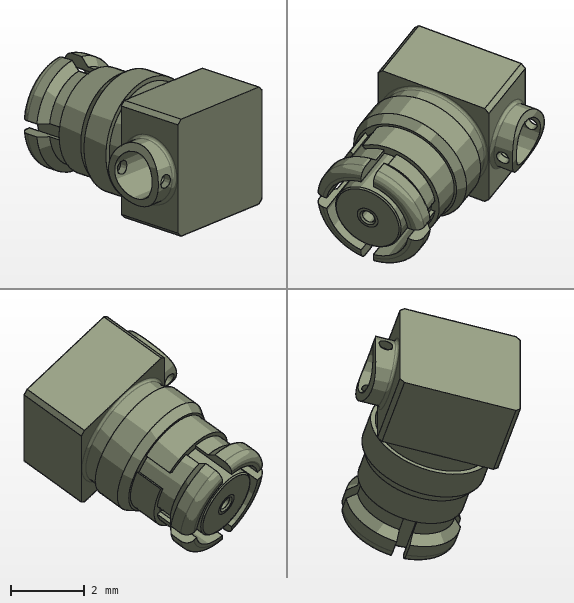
import cadquery as cq
import math


plug_front = 0.025
lip_back = 0.605
neck_start = 0.85
collar_start = 1.32
cone_start = 2.18
band_start = 2.45
band_end = 3.25
block_front = 3.785
block_back = 5.87

lip_radius = 1.65
lip_round = 0.26
neck_radius = 1.4
collar_radius = 1.525
cone_radius = 1.595
band_radius = 1.76
shank_radius = 1.625
shank_fillet = 0.075
cavity_radius = 1.28
cavity_floor = 1.675
plug_radius = 1.02
plug_chamfer = 0.04

finger_count = 4
finger_slot_width = 0.38
key_width = 0.53
key_angle = 45.0

block_side = 3.45
block_chamfer = 0.13

tube_x = (block_front + block_back) / 2
tube_radius = 0.915
tube_bore_radius = 0.685
tube_reach = 2.39
tube_fillet = 0.095
cross_hole_radius = 0.195
cross_hole_y = -2.09

contact_radius = 0.32
contact_length = cavity_floor - plug_front
socket_radius = 0.19
socket_mouth_radius = 0.24
socket_depth = 0.705


def rod(start, end, radius):
    """Cylinder on the connector axis."""
    return cq.Workplane("YZ", origin=(start, 0, 0)).circle(radius).extrude(end - start)


def make_barrel():
    """Turned outer shape, from the finger lip to the block."""
    round_mid = lip_round * (1 - math.sqrt(0.5))
    fillet_mid = shank_fillet * (1 - math.sqrt(0.5))
    profile = (
        cq.Workplane("XY")
        .lineTo(0, lip_radius - lip_round)
        .threePointArc((round_mid, lip_radius - round_mid), (lip_round, lip_radius))
        .lineTo(lip_back, lip_radius)
        .lineTo(neck_start, neck_radius)
        .lineTo(collar_start, neck_radius)
        .lineTo(collar_start, collar_radius)
        .lineTo(cone_start, collar_radius)
        .lineTo(cone_start, cone_radius)
        .lineTo(band_start, band_radius)
        .lineTo(band_end, band_radius)
        .lineTo(band_end, shank_radius)
        .lineTo(block_front - shank_fillet, shank_radius)
        .threePointArc(
            (block_front - fillet_mid, shank_radius + fillet_mid),
            (block_front, shank_radius + shank_fillet),
        )
        .lineTo(block_front, 0)
        .close()
    )
    return profile.revolve(360, (0, 0, 0), (1, 0, 0))


def cut_fingers(barrel):
    """Hollow the mating end and split its wall into spring fingers."""
    barrel = barrel.cut(rod(0, cavity_floor, cavity_radius))
    slot = cq.Workplane("XY").box(
        collar_start, lip_radius, finger_slot_width, centered=(False, False, True)
    )
    for i in range(finger_count):
        barrel = barrel.cut(slot.rotate((0, 0, 0), (1, 0, 0), i * 360 / finger_count))
    return barrel


def cut_key_slot(barrel):
    """Lengthwise slot in the collar, as deep as the neck."""
    slot = (
        cq.Workplane("XY", origin=(collar_start, 0, 0))
        .box(cone_start - collar_start, collar_radius, key_width, centered=(False, False, True))
        .rotate((0, 0, 0), (1, 0, 0), key_angle)
        .cut(rod(collar_start, cone_start, neck_radius))
    )
    return barrel.cut(slot)


def make_plug():
    """Insulating centre plug, part of the housing."""
    return rod(plug_front, cavity_floor, plug_radius).faces("<X").edges().chamfer(plug_chamfer)


def make_block():
    block_length = block_back - block_front
    block = cq.Workplane("XY", origin=(tube_x, 0, 0)).box(block_length, block_side, block_side)
    return block.edges("|X").chamfer(block_chamfer)


def make_tube():
    """Side tube with a flared root and an end rounded about the connector axis."""
    root = block_side / 2
    fillet_mid = tube_fillet * (1 - math.sqrt(0.5))
    tube = (
        cq.Workplane("XY")
        .moveTo(0, -root)
        .lineTo(tube_radius + tube_fillet, -root)
        .threePointArc(
            (tube_radius + fillet_mid, -root - fillet_mid),
            (tube_radius, -root - tube_fillet),
        )
        .lineTo(tube_radius, -tube_reach)
        .lineTo(0, -tube_reach)
        .close()
        .revolve(360, (0, 0, 0), (0, 1, 0))
        .translate((tube_x, 0, 0))
    )
    return tube.intersect(rod(block_front, block_back, tube_reach))


def cut_tube_holes(housing):
    """Cable bore down to the connector axis, and the hole across both tube walls."""
    bore = cq.Workplane("XZ", origin=(tube_x, 0, 0)).circle(tube_bore_radius).extrude(tube_reach)
    cross_hole = rod(block_front, block_back, cross_hole_radius).translate((0, cross_hole_y, 0))
    return housing.cut(bore).cut(cross_hole)


def make_housing():
    barrel = cut_key_slot(cut_fingers(make_barrel()))
    housing = barrel.union(make_plug()).union(make_block()).union(make_tube())
    housing = cut_tube_holes(housing)
    return housing.cut(rod(plug_front, plug_front + contact_length, contact_radius))


def make_contact():
    """Centre contact with a blind socket and a chamfered mouth."""
    contact = rod(plug_front, plug_front + contact_length, contact_radius)
    contact = contact.cut(rod(plug_front, plug_front + socket_depth, socket_radius))
    mouth = contact.faces("<X").edges(cq.selectors.RadiusNthSelector(0))
    return mouth.chamfer(socket_mouth_radius - socket_radius)


housing = make_housing()
contact = make_contact()
result = cq.Compound.makeCompound([housing.val(), contact.val()])